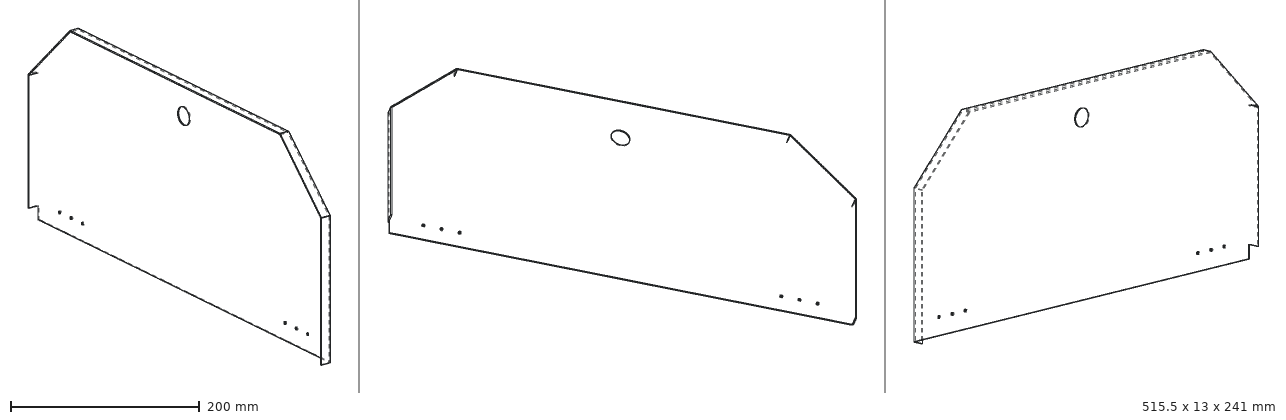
import cadquery as cq

length = 515.5
depth = 13.0
height = 241.0
corner_cut = 73.0

thickness = 1.5
inner_bend_radius = 1.0
outer_bend_radius = inner_bend_radius + thickness

left_relief_height = 15.5
left_relief_width = 2.0

top_flange_setback = 0.25

seam_width = 0.5
seam_length = 10.5
seam_depth = depth - outer_bend_radius
side_seam_angle = 22.5
top_seam_angle = 67.5

large_hole_diameter = 20.5
large_hole_height = 199.5
small_hole_diameter = 3.0
small_hole_height = 20.0
small_hole_pitch = 20.0
small_hole_edge_distance = 39.5
small_holes_per_group = 3


def panel_block(inset, bottom, front, back, bend_radius):
    """Solid panel outline, inset at the flanged edges and rounded along its back rim."""
    left = inset
    right = length - inset
    top = height - inset
    cut = corner_cut - inset * (2 - 2**0.5)
    block = (
        cq.Workplane("XZ", origin=(0, back, 0))
        .moveTo(left, bottom)
        .lineTo(left, top - cut)
        .lineTo(left + cut, top)
        .lineTo(right - cut, top)
        .lineTo(right, top - cut)
        .lineTo(right, bottom)
        .close()
        .extrude(back - front)
    )
    rim = block.faces(">Y").edges("not(<Z)")
    return block.newObject(rim.vals()).fillet(bend_radius)


def hole_cutter(points, diameter):
    """Cylinders through the web at the given X, Z points."""
    return cq.Workplane("XZ", origin=(0, depth, 0)).pushPoints(points).circle(diameter / 2).extrude(depth)


outer = panel_block(0, 0, 0, depth, outer_bend_radius)
cavity = panel_block(thickness, -thickness, -thickness, depth - thickness, inner_bend_radius)
result = outer.cut(cavity)

relief = cq.Workplane("XY").box(left_relief_width, depth, left_relief_height, centered=False)
result = result.cut(relief)

taper = (
    cq.Workplane("XY", origin=(0, 0, height - corner_cut))
    .moveTo(0, 0)
    .lineTo(corner_cut, top_flange_setback)
    .lineTo(length - corner_cut, top_flange_setback)
    .lineTo(length, 0)
    .close()
    .extrude(corner_cut)
)
result = result.cut(taper)

for x, z, angle in (
    (0, height - corner_cut, side_seam_angle),
    (corner_cut, height, top_seam_angle),
    (length - corner_cut, height, -top_seam_angle),
    (length, height - corner_cut, -side_seam_angle),
):
    seam = (
        cq.Workplane("XY")
        .box(seam_length, seam_depth, seam_width, centered=(True, False, True))
        .rotate((0, 0, 0), (0, 1, 0), angle)
        .translate((x, 0, z))
    )
    result = result.cut(seam)

small_hole_points = []
for i in range(small_holes_per_group):
    offset = small_hole_edge_distance + i * small_hole_pitch
    small_hole_points.append((offset, small_hole_height))
    small_hole_points.append((length - offset, small_hole_height))

result = result.cut(hole_cutter([(length / 2, large_hole_height)], large_hole_diameter))
result = result.cut(hole_cutter(small_hole_points, small_hole_diameter))